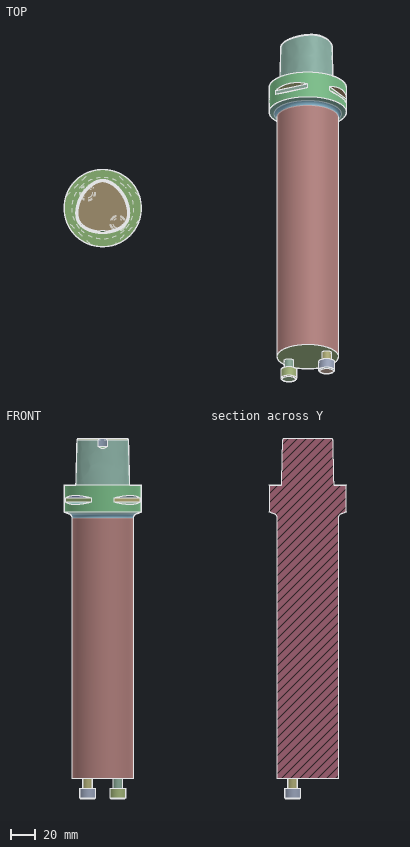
import cadquery as cq
import math

total_height = 293.0
shank_length = 38.0
body_top = 228.2
body_bottom = 16.5
flange_top = total_height - shank_length

flange_radius = 63.0 / 2
body_radius = 50.0 / 2
neck_fillet = 3.5
underside_slope = 20

shank_base_radius = 22.0
shank_taper = 1 / 40
lobe_height = 1.32
shank_chamfer_width = 1.0
shank_chamfer_height = 1.2
outline_points = 48

key_radius = 6.0
key_inner_distance = 18.2
key_depth = 6.5

slot_count = 4
slot_floor_distance = 27.8
slot_floor_height = 3.2
slot_mouth_height = 7.3
slot_height = 243.0

screw_offset = 12.3
screw_neck_diameter = 8.0
screw_head_diameter = 13.0
screw_head_height = 8.5
screw_head_chamfer = 1.0


def make_body():
    """Revolve the body and flange, joined by a concave fillet and a tangent cone."""
    slope = math.radians(underside_slope)
    arc_center_radius = body_radius + neck_fillet

    def fillet_point(angle):
        return (
            arc_center_radius + neck_fillet * math.cos(angle),
            body_top + neck_fillet * math.sin(angle),
        )

    arc_end_angle = math.pi / 2 + slope
    arc_end = fillet_point(arc_end_angle)
    arc_middle = fillet_point((math.pi + arc_end_angle) / 2)
    flange_bottom = arc_end[1] + (flange_radius - arc_end[0]) * math.tan(slope)
    return (
        cq.Workplane("XZ")
        .moveTo(0, body_bottom)
        .lineTo(body_radius, body_bottom)
        .lineTo(body_radius, body_top)
        .threePointArc(arc_middle, arc_end)
        .lineTo(flange_radius, flange_bottom)
        .lineTo(flange_radius, flange_top)
        .lineTo(0, flange_top)
        .close()
        .revolve(360, (0, 0, 0), (0, 1, 0))
    )


def shank_outline(mean_radius):
    """Points of a three-lobed curve of constant width, with one lobe toward +Y."""
    points = []
    for index in range(outline_points):
        angle = 2 * math.pi * index / outline_points
        reach = mean_radius - lobe_height * math.sin(3 * angle)
        sideways = -3 * lobe_height * math.cos(3 * angle)
        x = reach * math.cos(angle) - sideways * math.sin(angle)
        y = reach * math.sin(angle) + sideways * math.cos(angle)
        points.append((x, y))
    return points


def make_shank_section(bottom, bottom_radius, height, top_radius):
    """Loft between two shank outlines of different size."""
    return (
        cq.Workplane("XY", origin=(0, 0, bottom))
        .spline(shank_outline(bottom_radius), periodic=True)
        .close()
        .workplane(offset=height)
        .spline(shank_outline(top_radius), periodic=True)
        .close()
        .loft(ruled=True)
    )


def make_shank():
    """Build the tapered shank and its chamfered end."""
    taper_length = shank_length - shank_chamfer_height
    shoulder_radius = shank_base_radius - shank_taper * taper_length
    end_radius = shoulder_radius - shank_chamfer_width
    taper = make_shank_section(flange_top, shank_base_radius, taper_length, shoulder_radius)
    chamfer_bottom = flange_top + taper_length
    chamfer = make_shank_section(chamfer_bottom, shoulder_radius, shank_chamfer_height, end_radius)
    return taper.union(chamfer)


def make_key_groove():
    """Vertical round groove cutter with a 45 degree conical floor."""
    floor = total_height - key_depth
    return (
        cq.Workplane("XZ")
        .moveTo(0, floor - key_radius)
        .lineTo(key_radius, floor)
        .lineTo(key_radius, total_height)
        .lineTo(0, total_height)
        .close()
        .revolve(360, (0, 0, 0), (0, 1, 0))
        .translate((0, -key_inner_distance - key_radius, 0))
    )


def make_gripper_slot(angle):
    """Straight cutter across the flange, widening toward the rim."""
    half_floor = slot_floor_height / 2
    half_mouth = slot_mouth_height / 2
    return (
        cq.Workplane("XZ")
        .moveTo(slot_floor_distance, slot_height - half_floor)
        .lineTo(flange_radius, slot_height - half_mouth)
        .lineTo(flange_radius, slot_height + half_mouth)
        .lineTo(slot_floor_distance, slot_height + half_floor)
        .close()
        .extrude(flange_radius, both=True)
        .rotate((0, 0, 0), (0, 0, 1), angle)
    )


def make_screw(x, y):
    """Cap screw hanging below the body."""
    neck = cq.Workplane("XY").circle(screw_neck_diameter / 2).extrude(body_bottom)
    head = (
        cq.Workplane("XY")
        .circle(screw_head_diameter / 2)
        .extrude(screw_head_height)
        .faces("<Z")
        .chamfer(screw_head_chamfer)
    )
    return head.union(neck).translate((x, y, 0))


result = make_body().union(make_shank()).cut(make_key_groove())

for slot_index in range(slot_count):
    slot_angle = 360 / slot_count * (slot_index + 0.5)
    result = result.cut(make_gripper_slot(slot_angle))

for side in (-1, 1):
    result = result.union(make_screw(side * screw_offset, -side * screw_offset))